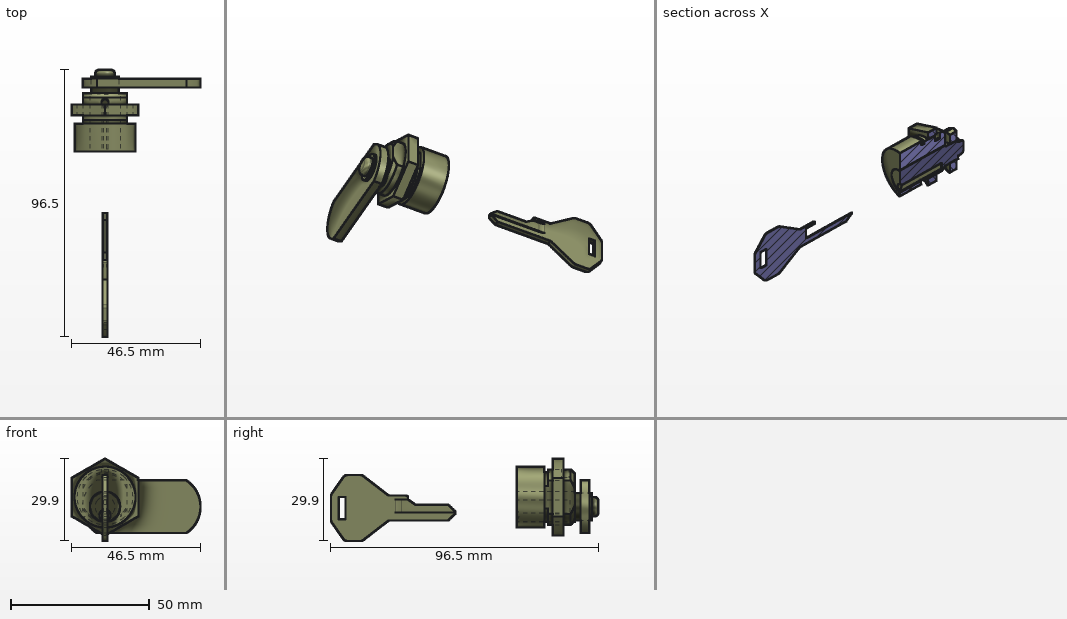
import cadquery as cq
import math


HEAD_RADIUS = 11.0
HEAD_LENGTH = 10.0
NECK_RADIUS = 9.0
NECK_LENGTH = 1.35
BARREL_RADIUS = 10.0
BARREL_END = 21.0
BARREL_CHAMFER = 1.5
ACROSS_FLATS = 16.0
RADIAL_HOLE_RADIUS = 1.35
RADIAL_HOLE_DEPTH = 2.9
RADIAL_HOLE_FROM_END = 3.6

NUT_ACROSS_FLATS = 24.0
NUT_FRONT = 13.0
NUT_THICKNESS = 4.0

PLUG_Z = -3.5
PLUG_RADIUS = 5.5
SHAFT_RADIUS = 5.0
SHAFT_BEHIND_CAM = 0.9
KNOB_RADIUS = 3.6
KNOB_STRAIGHT = 0.9
DOME_ROUNDING = 1.5

KEYWAY_WIDTH = 1.3
KEYWAY_TOP_Z = -1.1
KEYWAY_DEPTH = 19.3
DIMPLE_Z = -6.6
DIMPLE_RADIUS = 2.0
NOTCH_WIDTH = 2.1

CAM_GAP = 2.0
CAM_THICKNESS = 3.2
CAM_HALF_HEIGHT = 9.6
CAM_LEFT = -8.1
CAM_LEFT_CORNER = -2.9
CAM_RIGHT_CORNER = 29.3

OVERALL_LENGTH = 96.5
OVERALL_WIDTH = 46.5
KEY_Z = -4.0
KEY_THICKNESS = 1.8
BOW_HALF_HEIGHT = 12.0
BOW_END_HALF_HEIGHT = 4.8
BOW_FILLET = 2.0
STEM_HALF_HEIGHT = 4.5
BLADE_HEIGHT = 5.8
TIP_HEIGHT = 0.9
SHOULDER_FILLET = 0.9
SHOULDER_STEP = 1.4
BOW_REAR_CORNER = 5.0
BOW_FRONT_CORNER = 11.2
STEM_START = 20.8
GROOVE_END = 23.3
SHOULDER = 27.9
BLADE_RAMP_END = 30.5
TIP_CHAMFER_START = 42.3
KEY_LENGTH = 44.9
GROOVE_DEPTH = 0.3
GROOVE_RUNOUT = 2.1
RING_SLOT_OFFSET = 4.1
RING_SLOT_WIDTH = 2.4
RING_SLOT_HEIGHT = 7.9

cam_front = BARREL_END + CAM_GAP
cam_back = cam_front + CAM_THICKNESS
shaft_end = cam_back + SHAFT_BEHIND_CAM
knob_edge = shaft_end + KNOB_STRAIGHT
plug_end = knob_edge + DOME_ROUNDING
bow_end = plug_end - OVERALL_LENGTH


def rod(radius, start, end, z=0.0):
    """Cylinder along Y between two places on the axis."""
    return cq.Workplane("XZ", origin=(0, start, z)).circle(radius).extrude(start - end)


def block(width, start, end, bottom, top):
    """Box centred on X = 0 between limits in Y and Z."""
    return (
        cq.Workplane("XY", origin=(0, start, bottom))
        .box(width, end - start, top - bottom, centered=(True, False, False))
    )


def make_housing():
    neck_end = HEAD_LENGTH + NECK_LENGTH
    barrel = rod(BARREL_RADIUS, neck_end, BARREL_END).faces(">Y").chamfer(BARREL_CHAMFER)
    neck = rod(NECK_RADIUS, HEAD_LENGTH, neck_end)
    flats = block(ACROSS_FLATS, HEAD_LENGTH, BARREL_END, -HEAD_RADIUS, HEAD_RADIUS)
    flatted = neck.union(barrel).intersect(flats)
    radial_hole = (
        cq.Workplane("XY", origin=(0, BARREL_END - RADIAL_HOLE_FROM_END, BARREL_RADIUS))
        .circle(RADIAL_HOLE_RADIUS)
        .extrude(-RADIAL_HOLE_DEPTH)
    )
    plug_bore = rod(PLUG_RADIUS, 0, BARREL_END, PLUG_Z)
    return rod(HEAD_RADIUS, 0, HEAD_LENGTH).union(flatted).cut(radial_hole).cut(plug_bore)


def make_nut():
    corner_diameter = NUT_ACROSS_FLATS / math.cos(math.pi / 6)
    return (
        cq.Workplane("XZ", origin=(0, NUT_FRONT, 0))
        .transformed(rotate=(0, 0, 90))
        .polygon(6, corner_diameter)
        .circle(BARREL_RADIUS)
        .extrude(-NUT_THICKNESS)
    )


def make_keyhole():
    """Key slot with a conical dimple and a wider notch open at the plug's lower edge."""
    plug_bottom = PLUG_Z - PLUG_RADIUS
    keyway = block(KEYWAY_WIDTH, 0, KEYWAY_DEPTH, DIMPLE_Z, KEYWAY_TOP_Z)
    notch = block(NOTCH_WIDTH, 0, KEYWAY_DEPTH, plug_bottom, DIMPLE_Z)
    notch_top = rod(NOTCH_WIDTH / 2, 0, KEYWAY_DEPTH, DIMPLE_Z)
    dimple = cq.Workplane(cq.Solid.makeCone(
        DIMPLE_RADIUS, 0, DIMPLE_RADIUS, pnt=cq.Vector(0, 0, DIMPLE_Z), dir=cq.Vector(0, 1, 0)
    ))
    return keyway.union(notch).union(notch_top).union(dimple)


def make_plug():
    """Plug, shaft and domed knob turned as one piece, then cut for the key."""
    turned = (
        cq.Workplane("XY", origin=(0, 0, PLUG_Z))
        .lineTo(PLUG_RADIUS, 0)
        .lineTo(PLUG_RADIUS, BARREL_END)
        .lineTo(SHAFT_RADIUS, BARREL_END)
        .lineTo(SHAFT_RADIUS, shaft_end)
        .lineTo(KNOB_RADIUS, shaft_end)
        .lineTo(KNOB_RADIUS, knob_edge)
        .tangentArcPoint((KNOB_RADIUS - DOME_ROUNDING, plug_end), relative=False)
        .lineTo(0, plug_end)
        .close()
        .revolve(360, (0, 0, 0), (0, 1, 0))
    )
    return turned.cut(make_keyhole())


def make_cam():
    cam_right = OVERALL_WIDTH - NUT_ACROSS_FLATS / 2
    plate = (
        cq.Workplane("XZ", origin=(0, cam_front, PLUG_Z))
        .moveTo(CAM_LEFT_CORNER, -CAM_HALF_HEIGHT)
        .lineTo(CAM_RIGHT_CORNER, -CAM_HALF_HEIGHT)
        .threePointArc((cam_right, 0), (CAM_RIGHT_CORNER, CAM_HALF_HEIGHT))
        .lineTo(CAM_LEFT_CORNER, CAM_HALF_HEIGHT)
        .threePointArc((CAM_LEFT, 0), (CAM_LEFT_CORNER, -CAM_HALF_HEIGHT))
        .close()
        .extrude(-CAM_THICKNESS)
    )
    return plate.cut(rod(SHAFT_RADIUS, cam_front, cam_back, PLUG_Z))


def make_key_bow():
    """Bow and stem: symmetric about the key's middle line."""
    upper = [
        (0, BOW_END_HALF_HEIGHT),
        (BOW_REAR_CORNER, BOW_HALF_HEIGHT),
        (BOW_FRONT_CORNER, BOW_HALF_HEIGHT),
        (STEM_START, STEM_HALF_HEIGHT),
        (SHOULDER, STEM_HALF_HEIGHT),
    ]
    lower = [(along, -height) for along, height in reversed(upper)]
    bow = cq.Workplane("YZ").polyline(upper + lower).close().extrude(KEY_THICKNESS / 2, both=True)
    bow_corners = cq.selectors.BoxSelector(
        (-KEY_THICKNESS, -BOW_FILLET, -2 * BOW_HALF_HEIGHT),
        (KEY_THICKNESS, BOW_FRONT_CORNER + BOW_FILLET, 2 * BOW_HALF_HEIGHT),
    )
    bow = bow.edges("|X").edges(bow_corners).fillet(BOW_FILLET)
    bow = bow.edges("|X and >Y").edges(">Z").fillet(SHOULDER_FILLET)
    ring_slot = block(
        KEY_THICKNESS,
        RING_SLOT_OFFSET - RING_SLOT_WIDTH / 2,
        RING_SLOT_OFFSET + RING_SLOT_WIDTH / 2,
        -RING_SLOT_HEIGHT / 2,
        RING_SLOT_HEIGHT / 2,
    )
    return bow.cut(ring_slot)


def make_key():
    blade_bottom = -STEM_HALF_HEIGHT
    blade_top = blade_bottom + BLADE_HEIGHT
    blade_middle = blade_bottom + BLADE_HEIGHT / 2
    groove_top = STEM_HALF_HEIGHT - SHOULDER_STEP
    blade = (
        cq.Workplane("YZ")
        .polyline([
            (SHOULDER, blade_bottom),
            (TIP_CHAMFER_START, blade_bottom),
            (KEY_LENGTH, blade_middle - TIP_HEIGHT / 2),
            (KEY_LENGTH, blade_middle + TIP_HEIGHT / 2),
            (TIP_CHAMFER_START, blade_top),
            (BLADE_RAMP_END, blade_top),
            (SHOULDER, groove_top),
        ])
        .close()
        .extrude(KEY_THICKNESS / 2, both=True)
    )
    floor = KEY_THICKNESS / 2 - GROOVE_DEPTH
    groove = (
        cq.Workplane("XY", origin=(0, 0, blade_middle))
        .moveTo(KEY_THICKNESS / 2, KEY_LENGTH)
        .lineTo(floor, KEY_LENGTH)
        .lineTo(floor, GROOVE_END + GROOVE_RUNOUT)
        .tangentArcPoint((KEY_THICKNESS / 2, GROOVE_END), relative=False)
        .close()
        .extrude(groove_top - blade_middle)
    )
    key = make_key_bow().union(blade).cut(groove).cut(groove.mirror("YZ"))
    return key.translate((0, bow_end, KEY_Z))


housing = make_housing()
nut = make_nut()
plug = make_plug()
cam = make_cam()
key = make_key()

result = cq.Compound.makeCompound([
    housing.solids().val(),
    nut.solids().val(),
    plug.solids().val(),
    cam.solids().val(),
    key.solids().val(),
])